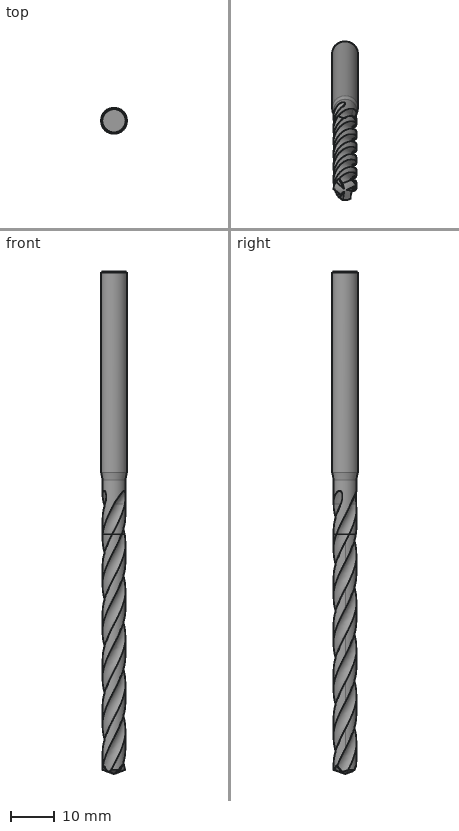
import cadquery as cq
import math

total_length = 115.0
shank_diameter = 6.0
cutting_diameter = 5.3
shank_radius = shank_diameter / 2
cutting_radius = cutting_diameter / 2

shank_bottom = 69.1
neck_top_length = 1.7
body_joint = 54.9
flute_end = 61.9

shank_chamfer = 0.3
chamfer_height = 0.3
point_angle = 140.0
point_height = cutting_radius / math.tan(math.radians(point_angle / 2))

flute_count = 3
flute_lead = 32.1
flute_spacing = 360 / flute_count
flute_width_angle = 69.0
first_flute_angle = 91.0
floor_radius = 1.67
half_width_cosine = math.cos(math.radians(flute_width_angle / 2))
cutter_center_radius = (cutting_radius**2 - floor_radius**2) / (
    2 * (cutting_radius * half_width_cosine - floor_radius)
)
cutter_radius = cutter_center_radius - floor_radius
helix_overrun = 1.2
runout_length = 5.2
runout_turn_factor = 1.5
runout_slope = 0.15

gash_lag = 18.0
gash_outer_radius = 3.0
gash_inner_radius = 0.5
gash_height = 2.3
gash_drop = 2.1
gash_side_slope = 0.75


def polar(radius, angle):
    """Point at a radius and an angle in degrees."""
    turn = math.radians(angle)
    return (radius * math.cos(turn), radius * math.sin(turn))


def helix_angle_at(height):
    """Turn of the helix, in degrees, at a height above the tip."""
    return 360 * height / flute_lead


def flute_profile(height, flute_angle):
    """Round cutter section, centred outside the drill, for the flute at this angle."""
    center = polar(cutter_center_radius, flute_angle + helix_angle_at(height))
    return cq.Workplane("XY", origin=(0, 0, height)).pushPoints([center]).circle(cutter_radius)


def helical_cutter(flute_angle, bottom, top):
    """One flute between two heights."""
    return flute_profile(bottom, flute_angle).twistExtrude(top - bottom, helix_angle_at(top - bottom))


def runout_cutter(flute_angle):
    """Straight end of a flute, which leans past the helix tangent and rises out of the neck."""
    middle = flute_angle + helix_angle_at(flute_end)
    sideways = runout_turn_factor * 2 * math.pi * cutting_radius * runout_length / flute_lead
    outward = runout_slope * runout_length
    drift = math.hypot(sideways, outward)
    x_shift, y_shift = polar(drift, middle + math.degrees(math.atan2(sideways, outward)))
    end_wire = flute_profile(flute_end, flute_angle).wires().val()
    runout = cq.Solid.extrudeLinear(end_wire, [], cq.Vector(x_shift, y_shift, runout_length))
    return cq.Workplane(runout)


def gash_cutter(flute_angle):
    """Triangular notch whose roof falls from the heel of a flute towards the axis."""
    angle = flute_angle - gash_lag
    outward = cq.Vector(*polar(1, angle))
    tangent = cq.Vector(*polar(1, angle + 90))
    half_width = gash_side_slope * gash_height
    rim = outward * gash_outer_radius
    corners = [
        rim + cq.Vector(0, 0, gash_height),
        rim + tangent * half_width,
        rim - tangent * half_width,
    ]
    triangle = cq.Wire.makePolygon(corners, close=True)
    inward = outward * (gash_inner_radius - gash_outer_radius) - cq.Vector(0, 0, gash_drop)
    return cq.Workplane(cq.Solid.extrudeLinear(triangle, [], inward))


def turned_blank():
    """Revolved blank: pointed cutting diameter, conical neck and chamfered shank."""
    return (
        cq.Workplane("XZ")
        .polyline([
            (0, 0),
            (cutting_radius, point_height),
            (cutting_radius, shank_bottom - neck_top_length),
            (shank_radius, shank_bottom),
            (shank_radius, total_length - chamfer_height),
            (shank_radius - shank_chamfer, total_length),
            (0, total_length),
        ])
        .close()
        .revolve(360, (0, 0), (0, 1))
    )


def fluted_section(bottom, top):
    """Part of the fluted drill between two heights."""
    section = (
        cq.Workplane("XY", origin=(0, 0, bottom))
        .circle(shank_diameter)
        .extrude(top - bottom)
        .intersect(turned_blank())
    )
    helix_bottom = bottom - helix_overrun
    helix_top = min(top + helix_overrun, flute_end)
    for index in range(flute_count):
        flute_angle = first_flute_angle + index * flute_spacing
        section = section.cut(helical_cutter(flute_angle, helix_bottom, helix_top))
        if top > flute_end:
            section = section.cut(runout_cutter(flute_angle))
        if bottom < point_height:
            section = section.cut(gash_cutter(flute_angle))
    return section


cutting_part = fluted_section(0, body_joint)
shank = fluted_section(body_joint, total_length)

result = cq.Compound.makeCompound([cutting_part.val(), shank.val()])